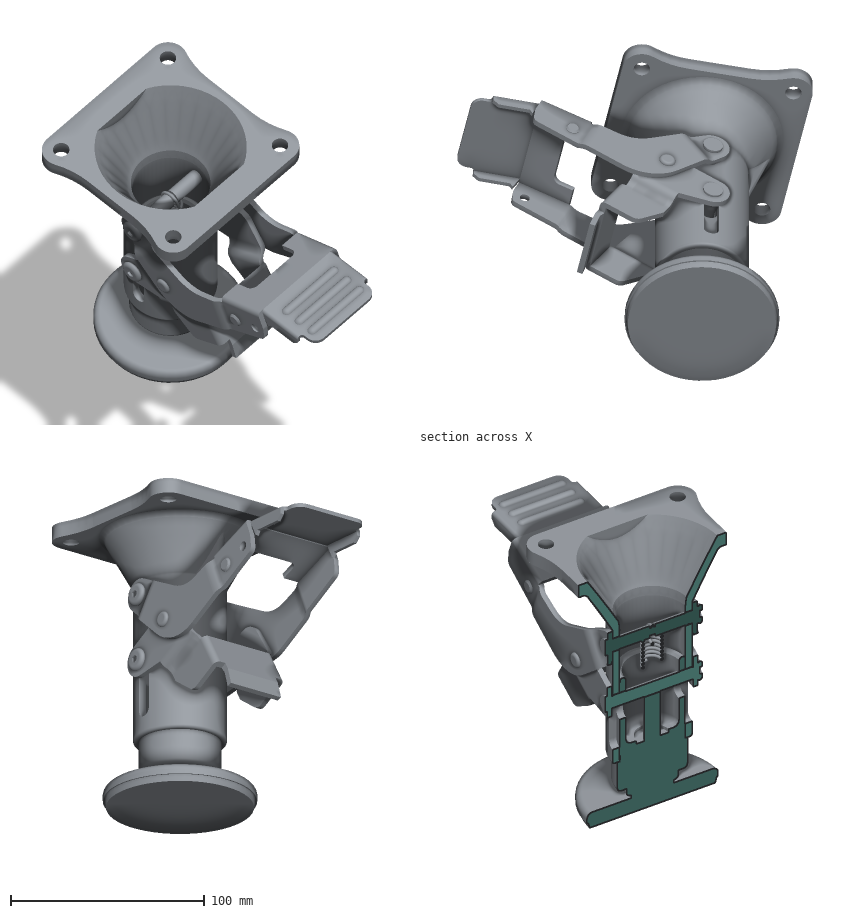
import cadquery as cq
import math


total_height = 157.0
plate_size = 100.0
plate_thickness = 8.0
plate_bottom = total_height - plate_thickness
plate_corner_radius = 10.0
plate_waist_radius = 50.0
plate_waist_half_width = 45.0
plate_hole_pitch = plate_size - 2 * plate_corner_radius
plate_hole_diameter = 8.5

tube_radius = 24.3
tube_bottom = 35.3
tube_bottom_fillet = 1.5
bore_radius = 19.9
cone_bottom = 121.0
cone_top = 146.25
cone_top_radius = 38.8
cone_foot_height = 1.0
cone_foot_flare = 0.3
flare_radius = 41.9
flare_middle = (39.9, 147.95)
funnel_bottom_radius = 20.6
funnel_top_radius = 39.35
funnel_bottom = 125.0
funnel_seat = 119.5
funnel_half_width = 34.7

rib_bottom = 106.7
rib_top = 142.0
rib_top_reach = 36.3
rib_crest_half_width = 2.0
rib_flank_angle = 49.0
rib_depth = 12.0

upper_pivot = (0.0, 111.0)
lower_pivot = (0.0, 75.0)
pin_radius = 4.0
slot_bottom = 44.7

plunger_top = 88.0
plunger_rim_chamfer = 0.9
cup_radius = 16.0
cup_mouth_chamfer = 1.4
cup_floor = 45.0
cup_floor_fillet = 3.3
cup_recess_radius = 9.7
cup_recess_depth = 2.0
post_radius = 5.0
cross_slot_bottom = 62.3
sleeve_radius = 21.5
sleeve_bottom = 16.4
sleeve_fillet = 2.8
neck_radius = 15.85
neck_bottom = 11.4
neck_fillet = 2.5
stem_radius = 13.0
foot_radius = 40.0
foot_top = 9.76
foot_fillet = 3.5
pad_top = 3.5
pad_top_radius = 39.2
pad_bottom_radius = 38.3

sheet = 3.0
ear_inner = tube_radius
ear_outer = ear_inner + sheet
arm_outer = 31.05
arm_inner = arm_outer - sheet
flange_outer = 29.3
ear_radius = 9.0
ear_angle = -34.7
ear_bend_start = 4.7
ear_bend_length = 9.4
even_split = 0.5
bridge_angle = 23.4
flange_bend_start = (58.5, 108.7)
flange_bend_length = 6.8
flange_bend_split = 0.7
arm_valley = (42.2, 101.5)
arm_valley_radius = 20.0
arm_belly = (32.7, 71.5)
arm_belly_radius = 25.0
arm_lower_end = (95.0, 107.6)
flange_corner_radius = 4.0
flange_back_edge = (94.0, 116.0)
ear_upper_angle = -24.6
ear_lower_angle = -40.5

pad_bend = (90.0, 125.7)
bridge_length = 28.7
bridge_bend_radius = 2.5
bridge_notch_depth = 11.6
bridge_notch_half_width = 16.7
bridge_notch_radius = 4.0

tread_angle = 1.2
tread_sheet = 2.1
tread_end = 125.52
tread_half_width = 26.35
tread_bend_radius = 1.8
tread_flange_length = 25.5
tread_flange_depth = 7.3
tread_flange_chamfer = 3.0
tread_flange_toe = 6.1
tread_web_tip = (4.7, -9.6)
tread_nose_half_width = 22.8
tread_nose_radius = 6.0
tread_shoulder_radius = 1.8
grip_first = 9.7
grip_pitch = 9.1
grip_count = 3
grip_half_length = 20.2
grip_width = 5.0
grip_height = 1.3

link_rivet = (24.7, 89.3)
link_rivet_shank = 3.0
link_rivet_head = 4.2
link_rivet_height = 1.7
link_rivet_rounding = 1.6
flange_rivet = (74.2, 105.1)
flange_rivet_radius = 3.7
flange_rivet_height = 1.2
flange_rivet_chamfer = 0.9
flange_hole = (88.1, 111.2)
flange_hole_radius = 2.6

link_angle = 30.0
link_outer = 27.7
link_inner = link_outer - sheet
link_radius = 9.0
lobe_tangent_angle = -112.0
link_lower_shift = 4.75
link_bend_start = 14.3
link_bend_length = 9.0
lobe_left = 12.5
lobe_right = 38.4
lobe_bottom = 43.2
lobe_shoulder = 27.9
lobe_corner = 20.2
lobe_corner_radius = 5.0
cross_plate_outer = lobe_right + 3.6
cross_plate_top = 23.2
cross_plate_edge_radius = 3.3
tab_half_width = 16.6
tab_bend = 47.0
tab_length = 9.5
tab_angle = 13.0

screw_collar_radius = 5.6
screw_head_bottom = 28.4
screw_head_top = 30.5
screw_head_radius = 6.1
screw_head_fillet = 2.0
socket_width = 3.6
socket_depth = 1.5
rivet_end_radius = 5.1
rivet_end = 28.8
groove_width = 3.1
groove_radius = 2.5
spring_wire = 1.7
spring_radius = 5.75
spring_pitch = 2.4
spring_coils = 8
spring_seat = 0.2


def direction(angle):
    """Unit vector in the XZ plane at an angle above +X."""
    return (math.cos(math.radians(angle)), 0, math.sin(math.radians(angle)))


def side_plane(origin, angle=0):
    """Plane facing -Y, its first axis raised by the angle above +X."""
    return cq.Workplane(cq.Plane((origin[0], 0, origin[1]), direction(angle), (0, -1, 0)))


def plan_plane(origin, angle):
    """Plane facing up, its first axis raised by the angle above +X, its second along +Y."""
    return cq.Workplane(cq.Plane((origin[0], 0, origin[1]), direction(angle), direction(angle + 90)))


def cross_plane(origin, angle):
    """Plane facing along a direction raised by the angle above +X, its first axis along +Y."""
    return cq.Workplane(cq.Plane((origin[0], 0, origin[1]), (0, 1, 0), direction(angle)))


def rod(pivot, radius, y_start, y_end):
    """Round bar along Y."""
    bar = side_plane(pivot).workplane(offset=-y_start).circle(radius)
    return bar.extrude(y_start - y_end)


def tangent_point(center, radius, angle):
    """Point of a circle in the XZ plane."""
    along = direction(angle)
    return (center[0] + radius * along[0], center[1] + radius * along[2])


def bent_sheet(plane, start, bend_start, bend_length, split, y_from, y_to, end, width):
    """Sheet that steps from one Y level to another through two tangent bends."""
    bend_end = bend_start + bend_length
    bend_split = bend_start + split * bend_length
    y_split = y_from + split * (y_to - y_from)
    return (
        plane.moveTo(start, y_from)
        .lineTo(bend_start, y_from)
        .tangentArcPoint((bend_split, y_split), relative=False)
        .tangentArcPoint((bend_end, y_to), relative=False)
        .lineTo(end, y_to)
        .lineTo(end, y_to + sheet)
        .lineTo(bend_end, y_to + sheet)
        .tangentArcPoint((bend_split, y_split + sheet), relative=False)
        .tangentArcPoint((bend_start, y_from + sheet), relative=False)
        .lineTo(start, y_from + sheet)
        .close()
        .extrude(width, both=True)
    )


def make_plate():
    """Mounting plate with round corners, waisted along its two Y sides."""
    center = plate_size / 2 - plate_corner_radius
    reach = plate_corner_radius + plate_waist_radius
    rise = plate_waist_half_width + plate_waist_radius - center
    flat = center - math.sqrt(reach**2 - rise**2)
    lean = math.degrees(math.asin(rise / reach))
    blend = tangent_point((center, center), plate_corner_radius, 180 - lean)
    corner_middle = tangent_point((center, center), plate_corner_radius, 45)
    waist_middle = tangent_point((flat, plate_waist_half_width + plate_waist_radius),
                                 plate_waist_radius, -45 - lean / 2)
    half = plate_size / 2
    quarter = (
        cq.Workplane("XY", origin=(0, 0, plate_bottom))
        .lineTo(half, 0)
        .lineTo(half, center)
        .threePointArc(corner_middle, blend)
        .threePointArc(waist_middle, (flat, plate_waist_half_width))
        .lineTo(0, plate_waist_half_width)
        .close()
        .extrude(plate_thickness)
    )
    side = quarter.union(quarter.mirror("YZ"))
    plate = side.union(side.mirror("XZ"))
    return (
        plate.faces(">Z").workplane(origin=(0, 0, total_height))
        .rect(plate_hole_pitch, plate_hole_pitch, forConstruction=True)
        .vertices()
        .hole(plate_hole_diameter)
    )


def make_rib():
    """Wedge with sloping flanks and a round crest that leans outward as it rises."""
    flank = math.radians(rib_flank_angle)
    crest_radius = rib_crest_half_width / math.cos(flank)
    crest_height = crest_radius * (1 - math.sin(flank))

    def section(workplane, reach):
        shoulder = reach - crest_height
        base_half_width = rib_crest_half_width + rib_depth * math.tan(flank)
        return (
            workplane.moveTo(shoulder, -rib_crest_half_width)
            .threePointArc((reach, 0), (shoulder, rib_crest_half_width))
            .lineTo(shoulder - rib_depth, base_half_width)
            .lineTo(shoulder - rib_depth, -base_half_width)
            .close()
        )

    wedge = section(cq.Workplane("XY", origin=(0, 0, rib_bottom)), tube_radius)
    wedge = section(wedge.workplane(offset=rib_top - rib_bottom), rib_top_reach)
    return wedge.loft(ruled=True)


def make_funnel():
    """Conical mouth of the bore, cut flat on its two X sides."""
    cone = (
        cq.Workplane("XZ")
        .moveTo(0, funnel_seat)
        .lineTo(bore_radius, funnel_seat)
        .lineTo(funnel_bottom_radius, funnel_bottom)
        .lineTo(funnel_top_radius, total_height)
        .lineTo(0, total_height)
        .close()
        .revolve(360, (0, 0), (0, 1))
    )
    return cone.intersect(cq.Workplane("XY").box(2 * funnel_half_width, plate_size, 2 * total_height))


def make_housing():
    body = (
        cq.Workplane("XZ")
        .moveTo(0, tube_bottom)
        .lineTo(tube_radius - tube_bottom_fillet, tube_bottom)
        .tangentArcPoint((tube_radius, tube_bottom + tube_bottom_fillet), relative=False)
        .lineTo(tube_radius, cone_bottom - cone_foot_height)
        .tangentArcPoint((tube_radius + cone_foot_flare, cone_bottom), relative=False)
        .lineTo(cone_top_radius, cone_top)
        .threePointArc(flare_middle, (flare_radius, plate_bottom))
        .lineTo(0, plate_bottom)
        .close()
        .revolve(360, (0, 0), (0, 1))
    )
    rib = make_rib()
    body = body.union(make_plate()).union(rib).union(rib.mirror("YZ"))
    body = body.cut(make_funnel())
    body = body.cut(cq.Workplane("XY").circle(bore_radius).extrude(plate_bottom))
    body = body.cut(rod(upper_pivot, pin_radius, -plate_size, plate_size))
    slot_length = lower_pivot[1] - slot_bottom + pin_radius
    slot = (
        side_plane((0, slot_bottom + slot_length / 2))
        .slot2D(slot_length, 2 * pin_radius, 90)
        .extrude(plate_size, both=True)
    )
    return body.cut(slot)


def make_plunger():
    """Cup that slides in the housing, on a sleeve, a neck and a round foot."""
    post_top = lower_pivot[1] - pin_radius
    body = (
        cq.Workplane("XZ")
        .lineTo(pad_bottom_radius, 0)
        .lineTo(pad_top_radius, pad_top)
        .lineTo(foot_radius, pad_top)
        .lineTo(foot_radius, foot_top - foot_fillet)
        .tangentArcPoint((foot_radius - foot_fillet, foot_top), relative=False)
        .lineTo(stem_radius, foot_top)
        .lineTo(stem_radius, neck_bottom)
        .lineTo(neck_radius - neck_fillet, neck_bottom)
        .tangentArcPoint((neck_radius, neck_bottom + neck_fillet), relative=False)
        .lineTo(neck_radius, sleeve_bottom)
        .lineTo(sleeve_radius - sleeve_fillet, sleeve_bottom)
        .tangentArcPoint((sleeve_radius, sleeve_bottom + sleeve_fillet), relative=False)
        .lineTo(sleeve_radius, tube_bottom)
        .lineTo(bore_radius, tube_bottom)
        .lineTo(bore_radius, plunger_top - plunger_rim_chamfer)
        .lineTo(bore_radius - plunger_rim_chamfer, plunger_top)
        .lineTo(cup_radius + cup_mouth_chamfer, plunger_top)
        .lineTo(cup_radius, plunger_top - cup_mouth_chamfer)
        .lineTo(cup_radius, cup_floor + cup_floor_fillet)
        .tangentArcPoint((cup_radius - cup_floor_fillet, cup_floor), relative=False)
        .lineTo(cup_recess_radius, cup_floor)
        .lineTo(cup_recess_radius, cup_floor - cup_recess_depth)
        .lineTo(post_radius, cup_floor - cup_recess_depth)
        .lineTo(post_radius, post_top)
        .lineTo(0, post_top)
        .close()
        .revolve(360, (0, 0), (0, 1))
    )
    slot_length = lower_pivot[1] - cross_slot_bottom + pin_radius
    cross_slot = (
        side_plane((0, cross_slot_bottom + slot_length / 2))
        .slot2D(slot_length, 2 * pin_radius, 90)
        .extrude(plate_size, both=True)
    )
    center_post = cq.Workplane("XY").circle(post_radius).extrude(total_height)
    return body.cut(cross_slot.cut(center_post))


def make_pin(pivot):
    """Cross pin with a domed socket head on the -Y end and a flat head on the +Y end."""
    head = rod(pivot, screw_head_radius, -screw_head_top, -screw_head_bottom)
    head = head.faces("<Y").edges().fillet(screw_head_fillet)
    socket = (
        side_plane(pivot).workplane(offset=screw_head_top)
        .polygon(6, socket_width, circumscribed=True)
        .extrude(-socket_depth)
    )
    pin = rod(pivot, pin_radius, -screw_head_bottom, rivet_end)
    pin = pin.union(head).cut(socket)
    return pin


def make_collars(pivot, seat):
    """Seats of the pin heads on the outer faces of a pair of ears."""
    front = rod(pivot, screw_collar_radius, -screw_head_bottom, -seat)
    back = rod(pivot, rivet_end_radius, seat, rivet_end)
    return front.union(back)


def make_spring(pivot):
    """Tension spring whose end loop hangs in a groove of the pin."""
    loop_drop = spring_radius - spring_wire / 2 - groove_radius + spring_seat
    loop_center = pivot[1] - loop_drop
    loop = cq.Workplane(obj=cq.Solid.makeTorus(
        spring_radius, spring_wire / 2, cq.Vector(pivot[0], 0, loop_center), cq.Vector(0, 1, 0)))
    coil_length = spring_coils * spring_pitch
    coil_bottom = loop_center - coil_length
    path = cq.Wire.makeHelix(spring_pitch, coil_length, spring_radius, cq.Vector(0, 0, coil_bottom))
    coil = (
        cq.Workplane("XZ", origin=(spring_radius, 0, coil_bottom))
        .circle(spring_wire / 2)
        .sweep(cq.Workplane(obj=path), isFrenet=True)
    )
    return loop.union(coil)


def make_arm_outline():
    upper_tangent = tangent_point(upper_pivot, ear_radius, ear_upper_angle + 90)
    lower_tangent = tangent_point(upper_pivot, ear_radius, ear_lower_angle - 90)
    ear_end = tangent_point(upper_pivot, ear_radius, 180)
    back_top = tangent_point(pad_bend, bridge_bend_radius, bridge_angle - 90)
    outline = (
        side_plane((0, 0))
        .moveTo(*upper_tangent)
        .lineTo(*arm_valley)
        .lineTo(*back_top)
        .lineTo(*flange_back_edge)
        .lineTo(*arm_lower_end)
        .lineTo(*arm_belly)
        .lineTo(*lower_tangent)
        .threePointArc(ear_end, upper_tangent)
        .close()
        .extrude(plate_size, both=True)
    )

    def rounded(solid, corner, radius):
        x, z = corner
        tolerance = 0.1
        picker = cq.selectors.BoxSelector((x - tolerance, -2 * plate_size, z - tolerance),
                                          (x + tolerance, 2 * plate_size, z + tolerance))
        return solid.edges("|Y").edges(picker).fillet(radius)

    outline = rounded(outline, arm_valley, arm_valley_radius)
    outline = rounded(outline, arm_belly, arm_belly_radius)
    outline = rounded(outline, arm_lower_end, flange_corner_radius)
    return rounded(outline, flange_back_edge, flange_corner_radius)


def make_pedal_side():
    """The +Y side plate: an ear at the pivot, an arm stepped outward and a flange stepped back in."""
    reach = plate_size
    ear_sheet = bent_sheet(plan_plane(upper_pivot, ear_angle), -reach, ear_bend_start, ear_bend_length,
                           even_split, ear_inner, arm_inner, reach, reach)
    flange_sheet = bent_sheet(plan_plane(flange_bend_start, bridge_angle), -reach, 0, flange_bend_length,
                              flange_bend_split, arm_inner, flange_outer - sheet, reach, reach)
    ear_half = cq.Workplane("XY").box(reach, reach, 2 * total_height)
    ear_half = ear_half.translate((arm_valley[0] - reach / 2, 0, 0))
    flange_half = ear_half.translate((reach, 0, 0))
    plate = ear_sheet.intersect(ear_half).union(flange_sheet.intersect(flange_half))
    plate = plate.intersect(make_arm_outline())
    link_head = rod(link_rivet, link_rivet_head, arm_outer, arm_outer + link_rivet_height)
    link_head = link_head.faces(">Y").edges().fillet(link_rivet_rounding)
    flange_head = rod(flange_rivet, flange_rivet_radius, flange_outer, flange_outer + flange_rivet_height)
    flange_head = flange_head.faces(">Y").edges().chamfer(flange_rivet_chamfer)
    shank = rod(link_rivet, link_rivet_shank, link_inner, arm_outer)
    return plate.union(link_head).union(flange_head).union(shank)


def make_bridge():
    """Notched plate joining the pedal flanges."""
    top_normal = cq.Vector(direction(bridge_angle + 90))
    bridge = (
        cross_plane(pad_bend, bridge_angle)
        .center(0, -sheet / 2)
        .rect(2 * flange_outer, sheet)
        .extrude(-bridge_length)
        .faces(cq.selectors.DirectionMinMaxSelector(top_normal))
        .edges(cq.selectors.ParallelDirSelector(cq.Vector(direction(bridge_angle))))
        .fillet(bridge_bend_radius)
    )
    notch_end = bridge_notch_depth - bridge_length
    notch = (
        plan_plane(pad_bend, bridge_angle)
        .center(notch_end - bridge_notch_depth, 0)
        .rect(2 * bridge_notch_depth, 2 * bridge_notch_half_width)
        .extrude(sheet, both=True)
        .edges(cq.selectors.ParallelDirSelector(top_normal))
        .fillet(bridge_notch_radius)
    )
    return bridge.cut(notch)


def make_tread():
    """Foot plate with side flanges, a rounded nose and raised grips."""
    along = direction(tread_angle)
    length = (tread_end - pad_bend[0]) / along[0]
    channel = (
        cross_plane(pad_bend, tread_angle)
        .center(0, tread_web_tip[1] / 2)
        .rect(2 * tread_half_width, -tread_web_tip[1])
        .extrude(tread_flange_length)
    )
    channel = channel.faces(cq.selectors.DirectionMinMaxSelector(cq.Vector(direction(tread_angle + 90))))
    channel = channel.edges(cq.selectors.ParallelDirSelector(cq.Vector(along))).fillet(tread_bend_radius)
    hollow = (
        cross_plane(pad_bend, tread_angle)
        .center(0, tread_web_tip[1] / 2 - tread_sheet)
        .rect(2 * (tread_half_width - tread_sheet), -tread_web_tip[1])
        .extrude(tread_flange_length)
    )
    flange_outline = (
        side_plane(pad_bend, tread_angle)
        .lineTo(tread_flange_length, 0)
        .lineTo(tread_flange_length, tread_flange_chamfer - tread_flange_depth)
        .lineTo(tread_flange_length - tread_flange_chamfer, -tread_flange_depth)
        .lineTo(tread_flange_toe, -tread_flange_depth)
        .lineTo(*tread_web_tip)
        .close()
        .extrude(plate_size, both=True)
    )
    channel = channel.cut(hollow).intersect(flange_outline)

    nose_edge = tread_nose_half_width
    shoulder = tread_shoulder_radius
    half_nose = (
        plan_plane(pad_bend, tread_angle)
        .lineTo(0, nose_edge + shoulder)
        .lineTo(tread_flange_length, nose_edge + shoulder)
        .radiusArc((tread_flange_length + shoulder, nose_edge), -shoulder)
        .lineTo(length - tread_nose_radius, nose_edge)
        .radiusArc((length, nose_edge - tread_nose_radius), tread_nose_radius)
        .lineTo(length, 0)
        .close()
        .extrude(-tread_sheet)
    )
    tread = channel.union(half_nose).union(half_nose.mirror("XZ"))
    for index in range(grip_count):
        tread = tread.union(make_grip(grip_first + index * grip_pitch))
    return tread


def make_grip(position):
    """Raised round-topped bar with rounded ends, standing on the tread."""
    crown_radius = (grip_height**2 + (grip_width / 2) ** 2) / (2 * grip_height)
    end_center = grip_half_length - grip_width / 2
    bar = (
        side_plane(pad_bend, tread_angle)
        .moveTo(position - grip_width / 2, 0)
        .threePointArc((position, grip_height), (position + grip_width / 2, 0))
        .close()
        .extrude(end_center, both=True)
    )
    dome = (
        side_plane(pad_bend, tread_angle).workplane(offset=end_center)
        .moveTo(position, 0)
        .lineTo(position + grip_width / 2, 0)
        .radiusArc((position, grip_height), -crown_radius)
        .close()
        .revolve(360, (position, 0), (position, grip_height))
    )
    return bar.union(dome).union(dome.mirror("XZ"))


def make_pedal():
    side = make_pedal_side()
    pedal = side.union(side.mirror("XZ")).union(make_bridge()).union(make_tread())
    groove = rod(upper_pivot, pin_radius, -groove_width / 2, groove_width / 2)
    groove = groove.cut(rod(upper_pivot, groove_radius, -groove_width / 2, groove_width / 2))
    pin = make_pin(upper_pivot).cut(groove)
    pedal = pedal.union(pin).union(make_collars(upper_pivot, ear_outer))
    pedal = pedal.cut(rod(flange_hole, flange_hole_radius, -plate_size, 0))
    return pedal.union(make_spring(upper_pivot))


def make_link_outline():
    """Side outline: an arm from the pin to the rivet, with a lobe hanging from it."""
    rivet_distance = math.dist(lower_pivot, link_rivet)
    lobe = (
        side_plane(lower_pivot, link_angle)
        .moveTo(0, 0)
        .lineTo(*tangent_point((0, 0), link_radius, lobe_tangent_angle))
        .lineTo(lobe_left, -link_bend_start)
        .lineTo(lobe_left, -lobe_shoulder)
        .lineTo(lobe_corner, -lobe_bottom)
        .lineTo(lobe_right, -lobe_bottom)
        .lineTo(lobe_right, -link_bend_start)
        .lineTo(rivet_distance + link_radius, 0)
        .close()
        .extrude(plate_size, both=True)
    )
    corner = side_plane(lower_pivot, link_angle).plane.toWorldCoords((lobe_corner, -lobe_bottom))
    lobe = lobe.edges("|Y").edges(cq.selectors.NearestToPointSelector((corner.x, 0, corner.z)))
    lobe = lobe.fillet(lobe_corner_radius)
    arm = (
        side_plane(lower_pivot, link_angle)
        .center(rivet_distance / 2, 0)
        .slot2D(rivet_distance + 2 * link_radius, 2 * link_radius)
        .extrude(plate_size, both=True)
    )
    return lobe.union(arm)


def make_cross_plate():
    """Plate that joins the two lobes, with a narrower tab bent inward below it."""
    plate_height = lobe_bottom - cross_plate_top
    thickness = cross_plate_outer - lobe_right
    plate = (
        side_plane(lower_pivot, link_angle)
        .center(lobe_right + thickness / 2, -cross_plate_top - plate_height / 2)
        .rect(thickness, plate_height)
        .extrude(link_outer - link_lower_shift, both=True)
    )
    plate = plate.faces(cq.selectors.DirectionMinMaxSelector(cq.Vector(direction(link_angle))))
    plate = plate.edges(cq.selectors.ParallelDirSelector(cq.Vector(direction(link_angle + 90))))
    plate = plate.fillet(cross_plate_edge_radius)
    lean = math.sin(math.radians(tab_angle))
    fall = math.cos(math.radians(tab_angle))
    tip = (cross_plate_outer - tab_length * lean, -tab_bend - tab_length * fall)
    tab = (
        side_plane(lower_pivot, link_angle)
        .moveTo(lobe_right, -lobe_bottom + sheet)
        .lineTo(cross_plate_outer, -lobe_bottom + sheet)
        .lineTo(cross_plate_outer, -tab_bend)
        .lineTo(*tip)
        .lineTo(tip[0] - sheet * fall, tip[1] + sheet * lean)
        .lineTo(cross_plate_outer - sheet, -tab_bend)
        .lineTo(lobe_right, -lobe_bottom)
        .close()
        .extrude(tab_half_width, both=True)
    )
    return plate.union(tab)


def make_link():
    reach = plate_size
    plate = bent_sheet(plan_plane(lower_pivot, link_angle - 90), -reach, link_bend_start, link_bend_length,
                       even_split, link_inner, link_inner - link_lower_shift, reach, reach)
    side = plate.intersect(make_link_outline())
    side = side.cut(rod(link_rivet, link_rivet_shank, 0, plate_size))
    link = side.union(side.mirror("XZ")).union(make_cross_plate())
    return link.union(make_pin(lower_pivot)).union(make_collars(lower_pivot, link_outer))


housing = make_housing()
plunger = make_plunger()
pedal = make_pedal()
link = make_link()

result = cq.Compound.makeCompound([
    housing.solids().val(),
    plunger.solids().val(),
    pedal.solids().val(),
    link.solids().val(),
])